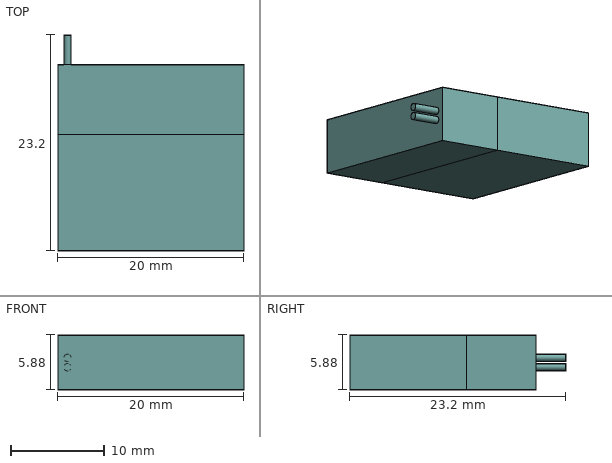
import cadquery as cq

width = 20.0
block_length = 20.0
height = 5.88
front_length = 12.5
rear_length = block_length - front_length

lead_diameter = 0.79
lead_length = 3.18
lead_pitch = 1.0
lead_side_offset = 1.05

left_side = -width / 2
front_face = -block_length / 2
split_face = front_face + front_length
rear_face = front_face + block_length


def make_block(start_y, length):
    """Plain rectangular block of full width and height, starting at start_y."""
    return (
        cq.Workplane("XY")
        .box(width, length, height, centered=(True, False, True))
        .translate((0, start_y, 0))
    )


def make_lead(center_z):
    """Round lead that stands out from the rear face along +Y."""
    lead_start = cq.Vector(left_side + lead_side_offset, rear_face, center_z)
    lead_direction = cq.Vector(0, 1, 0)
    return cq.Solid.makeCylinder(lead_diameter / 2, lead_length, lead_start, lead_direction)


front_housing = make_block(front_face, front_length)
rear_housing = make_block(split_face, rear_length)
leads = [make_lead(side * lead_pitch / 2) for side in (-1, 1)]

result = cq.Compound.makeCompound([front_housing.val(), rear_housing.val(), *leads])